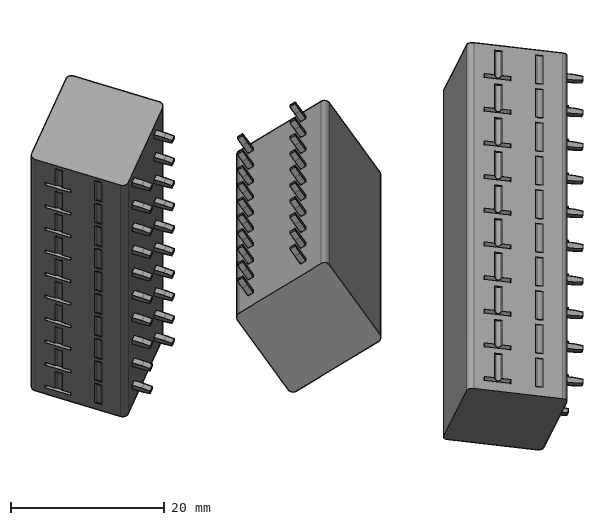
import cadquery as cq
import math

BODY_X = 13.45
BODY_Y = 14.4
BODY_Z = 51.4
CORNER_RADIUS = 0.75
FRONT_Y = -BODY_Y / 2

LEVELS = 10
FIRST_TO_LAST = 45.05
PITCH = FIRST_TO_LAST / (LEVELS - 1)
LEVEL_TOP_GAP = 0.75
OPENING_HEIGHT = 4.2

WEDGE_X = 3.95
WEDGE_LENGTH = 3.55
WEDGE_HEIGHT = 0.55
WEDGE_DEPTH = 0.65

STEM_X = 4.05
STEM_WIDTH = 1.05
STEM_SIDE_RUN = 0.2
STEM_SIDE_ANGLE = 42.0
SHALLOW_X = 9.55
SHALLOW_WIDTH = 1.05
SHALLOW_SIDE_RUN = 0.25
SHALLOW_SIDE_ANGLE = 18.0

PIN_LENGTH = 2.5
PIN_STRAIGHT = 1.4
PIN_WIDTH = 0.8
PIN_THICKNESS = 0.8
PIN_TIP_THICKNESS = 0.55
PIN_TOP_GAP = 2.2
PIN_ROWS_Y = (-4.65, 3.6)


def make_body():
    block = cq.Workplane("XY").box(BODY_X, BODY_Y, BODY_Z, centered=(False, True, False))
    return block.edges("|Z").fillet(CORNER_RADIUS)


def make_groove(center_x, width, side_run, side_angle, bottom_z):
    """Upright groove cutter; the round bottom is tangent to both sides."""
    slope = math.radians(side_angle)
    half_width = width / 2
    half_bottom = half_width - side_run
    side_depth = side_run * math.tan(slope)
    full_depth = side_depth + half_bottom * math.tan(slope / 2)
    return (
        cq.Workplane("XY", origin=(center_x, FRONT_Y, bottom_z))
        .moveTo(-half_width, 0)
        .lineTo(-half_bottom, side_depth)
        .threePointArc((0, full_depth), (half_bottom, side_depth))
        .lineTo(half_width, 0)
        .close()
        .extrude(OPENING_HEIGHT)
    )


def make_wedge(bottom_z):
    """Triangular slot cutter, drawn in the YZ plane and extruded along X."""
    return (
        cq.Workplane("YZ", origin=(WEDGE_X - WEDGE_LENGTH / 2, FRONT_Y, bottom_z))
        .polyline([(0, 0), (WEDGE_DEPTH, 0), (0, WEDGE_HEIGHT)])
        .close()
        .extrude(WEDGE_LENGTH)
    )


def make_pin(center_y, center_z):
    half_thickness = PIN_THICKNESS / 2
    half_tip = PIN_TIP_THICKNESS / 2
    outline = [
        (0, -half_thickness),
        (PIN_STRAIGHT, -half_thickness),
        (PIN_LENGTH, -half_tip),
        (PIN_LENGTH, half_tip),
        (PIN_STRAIGHT, half_thickness),
        (0, half_thickness),
    ]
    return (
        cq.Workplane("XZ", origin=(BODY_X, center_y, center_z))
        .polyline(outline)
        .close()
        .extrude(PIN_WIDTH / 2, both=True)
    )


result = make_body()
for level in range(LEVELS):
    drop = level * PITCH
    opening_bottom = BODY_Z - LEVEL_TOP_GAP - OPENING_HEIGHT - drop
    stem = make_groove(STEM_X, STEM_WIDTH, STEM_SIDE_RUN, STEM_SIDE_ANGLE, opening_bottom)
    shallow = make_groove(SHALLOW_X, SHALLOW_WIDTH, SHALLOW_SIDE_RUN, SHALLOW_SIDE_ANGLE, opening_bottom)
    result = result.cut(stem).cut(shallow).cut(make_wedge(opening_bottom))
    for row_y in PIN_ROWS_Y:
        result = result.union(make_pin(row_y, BODY_Z - PIN_TOP_GAP - drop))